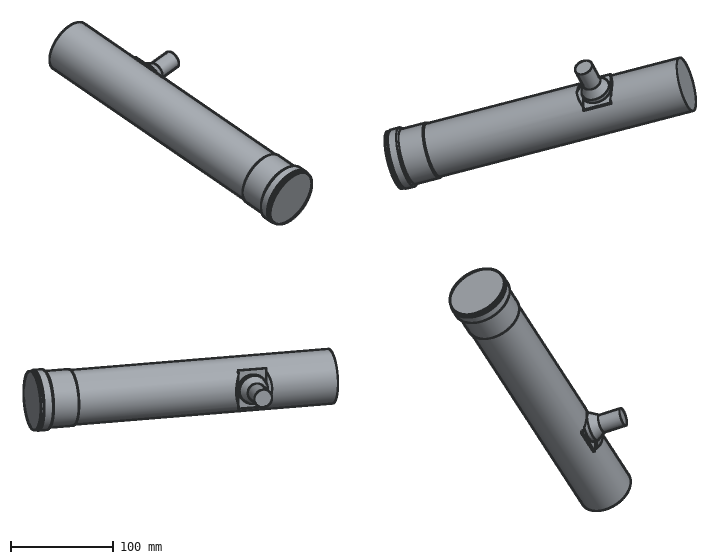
import cadquery as cq
import math

total_length = 304.9
pipe_radius = 27.0

sleeve_radius = 28.0
ring_radius = 30.0
lip_radius = 28.9
rim_radius = 29.2
sleeve_step_start = total_length - 40.4
sleeve_start = sleeve_step_start + 1.0
ring_step_start = total_length - 14.3
ring_start = ring_step_start + 1.8
ring_end = total_length - 4.0
lip_start = ring_end + 0.9
rim_start = total_length - 0.9

branch_x = 85.8
branch_end_y = 57.8
tube_radius = 9.0
collar_radius = 14.4
seat_angle = 45.0
plate_bottom_y = pipe_radius * math.sin(math.radians(seat_angle))
plate_thickness = 1.7
plate_half_height = 19.4
cone_start_y = 25.6
cone_end_y = 34.8

recess_mouth_radius = 18.5
recess_floor_radius = 23.0


def make_pipe():
    """Solid of revolution about the X axis: pipe and socket."""
    profile = [
        (0, 0),
        (0, pipe_radius),
        (sleeve_step_start, pipe_radius),
        (sleeve_start, sleeve_radius),
        (ring_step_start, sleeve_radius),
        (ring_start, ring_radius),
        (ring_end, ring_radius),
        (lip_start, lip_radius),
        (rim_start, lip_radius),
        (total_length, rim_radius),
        (total_length, 0),
    ]
    return cq.Workplane("XZ").polyline(profile).close().revolve(360, (0, 0, 0), (1, 0, 0))


def revolve_about_branch(profile):
    """Revolve (y, radius) points about the branch axis."""
    plane = cq.Workplane("YZ", origin=(branch_x, 0, 0))
    return plane.polyline(profile).close().revolve(360, (0, 0, 0), (1, 0, 0))


def make_recess():
    """Cutter that widens from the pipe surface down to a flat floor."""
    return revolve_about_branch([
        (plate_bottom_y, 0),
        (plate_bottom_y, recess_floor_radius),
        (pipe_radius, recess_mouth_radius),
        (pipe_radius, 0),
    ])


def make_branch():
    """Base plate carrying the collar, cone and outlet tube."""
    plate = cq.Workplane("XY").box(
        2 * collar_radius,
        plate_thickness,
        2 * plate_half_height,
        centered=(True, False, True),
    )
    plate = plate.translate((branch_x, plate_bottom_y, 0))
    outlet = revolve_about_branch([
        (plate_bottom_y, 0),
        (plate_bottom_y, collar_radius),
        (cone_start_y, collar_radius),
        (cone_end_y, tube_radius),
        (branch_end_y, tube_radius),
        (branch_end_y, 0),
    ])
    return plate.union(outlet)


result = make_pipe().cut(make_recess()).union(make_branch())